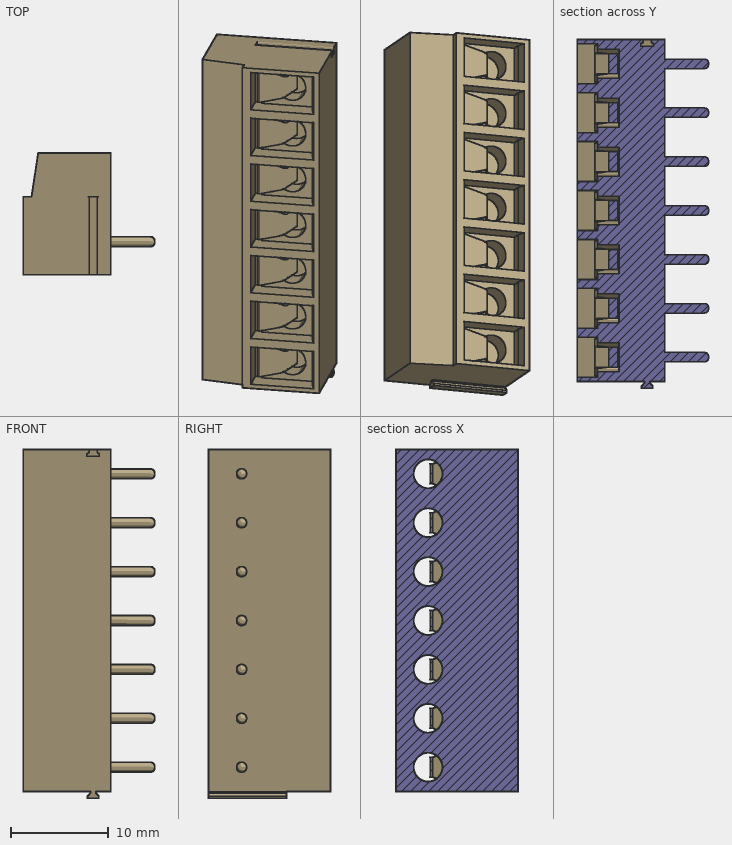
import cadquery as cq
import math

TOTAL_X = 13.5
TOTAL_HEIGHT = 35.68
POLE_COUNT = 7

BODY_X = 9.0
BODY_Y = 12.5
RAIL_DROP = 0.68
BODY_HEIGHT = TOTAL_HEIGHT - RAIL_DROP
PITCH = BODY_HEIGHT / POLE_COUNT
STEP_Y = 8.0
STEP_X = 0.85
SLOPE_END_X = 1.55

DOVETAIL_X = 7.17
DOVETAIL_LENGTH = STEP_Y
DOVETAIL_FOOT_HEIGHT = 0.2
RAIL_FOOT_WIDTH = 1.18
RAIL_NECK_WIDTH = 0.57
RAIL_NECK_HEIGHT = 0.15
GROOVE_FOOT_WIDTH = 1.3
GROOVE_NECK_WIDTH = 0.8
GROOVE_NECK_HEIGHT = 0.3
GROOVE_MOUTH_RADIUS = 0.1

POCKET_DEPTH = 2.07
POCKET_HEIGHT = 4.05
POCKET_TOP_Y = 7.15
POCKET_BOTTOM_Y = 0.57
POCKET_FLOOR_BOTTOM_Y = 0.9
LEAD_IN_DEPTH = 0.95
TOP_SLOT_DEPTH = 2.35

HOLE_DIAMETER = 2.93
HOLE_Y = 3.3
HOLE_DEPTH = 2.2

LEAF_THICKNESS = 0.3
LEAF_TOP_Y = 6.9
LEAF_TOP_WIDTH = 3.85
LEAF_TOP_RADIUS = 0.45
LEAF_BEND_Y = 4.28
LEAF_BEND_WIDTH = 2.45
LEAF_BEND_RADIUS = 0.5
LEG_WIDTH = 2.07
LEG_TIP_Y = 3.15

PIN_DIAMETER = 1.05
PIN_Y = 3.4
PIN_LENGTH = TOTAL_X - BODY_X
PIN_TIP_RADIUS = 0.45


def make_body():
    outline = [
        (0, 0),
        (BODY_X, 0),
        (BODY_X, BODY_Y),
        (SLOPE_END_X, BODY_Y),
        (STEP_X, STEP_Y),
        (0, STEP_Y),
    ]
    return cq.Workplane("XY").polyline(outline).close().extrude(BODY_HEIGHT)


def make_dovetail(top_z, foot_width, neck_width, neck_height):
    """Dovetail bar hanging from top_z, running along Y from the Y = 0 face."""
    neck = neck_width / 2
    foot = foot_width / 2
    neck_z = top_z - neck_height
    bottom_z = top_z - RAIL_DROP
    foot_z = bottom_z + DOVETAIL_FOOT_HEIGHT
    right_side = [(neck, top_z), (neck, neck_z), (foot, foot_z), (foot, bottom_z)]
    left_side = [(-x, z) for x, z in reversed(right_side)]
    outline = [(DOVETAIL_X + x, z) for x, z in right_side + left_side]
    return cq.Workplane("XZ").polyline(outline).close().extrude(-DOVETAIL_LENGTH)


def make_groove():
    """Dovetail groove with a rounded mouth, cut into the top of the body."""
    neck = GROOVE_NECK_WIDTH / 2
    mouth = neck + GROOVE_MOUTH_RADIUS
    arc_x = mouth - GROOVE_MOUTH_RADIUS * math.sqrt(0.5)
    arc_z = BODY_HEIGHT - GROOVE_MOUTH_RADIUS * (1 - math.sqrt(0.5))
    neck_z = BODY_HEIGHT - GROOVE_MOUTH_RADIUS
    rounded_mouth = (
        cq.Workplane("XZ")
        .moveTo(DOVETAIL_X - mouth, BODY_HEIGHT)
        .lineTo(DOVETAIL_X + mouth, BODY_HEIGHT)
        .threePointArc((DOVETAIL_X + arc_x, arc_z), (DOVETAIL_X + neck, neck_z))
        .lineTo(DOVETAIL_X - neck, neck_z)
        .threePointArc((DOVETAIL_X - arc_x, arc_z), (DOVETAIL_X - mouth, BODY_HEIGHT))
        .close()
        .extrude(-DOVETAIL_LENGTH)
    )
    dovetail = make_dovetail(BODY_HEIGHT, GROOVE_FOOT_WIDTH, GROOVE_NECK_WIDTH, GROOVE_NECK_HEIGHT)
    return dovetail.union(rounded_mouth)


def make_wire_entry():
    """Pocket with a lead-in, a slot for the leaf end and the wire hole, centred on Z = 0."""
    pocket_side = [
        (0, POCKET_BOTTOM_Y),
        (0, POCKET_TOP_Y),
        (TOP_SLOT_DEPTH, POCKET_TOP_Y),
        (TOP_SLOT_DEPTH, LEAF_TOP_Y - LEAF_TOP_RADIUS),
        (POCKET_DEPTH, LEAF_TOP_Y - LEAF_TOP_RADIUS),
        (POCKET_DEPTH, POCKET_FLOOR_BOTTOM_Y),
        (LEAD_IN_DEPTH, POCKET_FLOOR_BOTTOM_Y),
    ]
    pocket = cq.Workplane("XY").polyline(pocket_side).close().extrude(POCKET_HEIGHT / 2, both=True)
    hole = (
        cq.Workplane("YZ", origin=(POCKET_DEPTH, HOLE_Y, 0))
        .circle(HOLE_DIAMETER / 2)
        .extrude(HOLE_DEPTH)
    )
    return pocket.union(hole)


def make_leaf():
    """Bent spring leaf, centred on Z = 0: its bent strip trimmed to a tapering outline."""
    face_x = POCKET_DEPTH - LEAF_THICKNESS
    end_x = POCKET_DEPTH + HOLE_DEPTH
    bend_centre_x = face_x + LEAF_BEND_RADIUS

    run_x = end_x - bend_centre_x
    run_y = LEAF_BEND_Y - LEG_TIP_Y
    tip_distance = math.hypot(run_x, run_y)
    bend_angle = math.atan2(run_y, -run_x) - math.acos(LEAF_BEND_RADIUS / tip_distance)
    inner_radius = LEAF_BEND_RADIUS - LEAF_THICKNESS
    leg_thickness_y = LEAF_THICKNESS / math.sin(bend_angle)

    def on_bend(radius, angle):
        return (
            bend_centre_x - radius * math.cos(angle),
            LEAF_BEND_Y - radius * math.sin(angle),
        )

    top_centre_y = LEAF_TOP_Y - LEAF_TOP_RADIUS
    top_mid = LEAF_TOP_RADIUS * math.sqrt(0.5)
    strip = (
        cq.Workplane("XY")
        .moveTo(face_x, LEAF_BEND_Y)
        .threePointArc(on_bend(LEAF_BEND_RADIUS, bend_angle / 2), on_bend(LEAF_BEND_RADIUS, bend_angle))
        .lineTo(end_x, LEG_TIP_Y)
        .lineTo(end_x, LEG_TIP_Y + leg_thickness_y)
        .lineTo(*on_bend(inner_radius, bend_angle))
        .threePointArc(on_bend(inner_radius, bend_angle / 2), (POCKET_DEPTH, LEAF_BEND_Y))
        .lineTo(POCKET_DEPTH, top_centre_y)
        .lineTo(TOP_SLOT_DEPTH, top_centre_y)
        .lineTo(TOP_SLOT_DEPTH, LEAF_TOP_Y)
        .lineTo(face_x + LEAF_TOP_RADIUS, LEAF_TOP_Y)
        .threePointArc(
            (face_x + LEAF_TOP_RADIUS - top_mid, top_centre_y + top_mid),
            (face_x, top_centre_y),
        )
        .close()
        .extrude(LEAF_TOP_WIDTH / 2, both=True)
    )

    bend_end_y = on_bend(LEAF_BEND_RADIUS, bend_angle)[1]
    upper_side = [
        (LEAF_TOP_Y, LEAF_TOP_WIDTH / 2),
        (LEAF_BEND_Y, LEAF_BEND_WIDTH / 2),
        (bend_end_y, LEG_WIDTH / 2),
        (LEG_TIP_Y, LEG_WIDTH / 2),
    ]
    lower_side = [(y, -z) for y, z in reversed(upper_side)]
    taper = cq.Workplane("YZ").polyline(upper_side + lower_side).close().extrude(end_x)
    return strip.intersect(taper)


def make_pin():
    """Round pin with a rounded tip, centred on Z = 0."""
    return (
        cq.Workplane("YZ", origin=(BODY_X, PIN_Y, 0))
        .circle(PIN_DIAMETER / 2)
        .extrude(PIN_LENGTH)
        .faces(">X")
        .edges()
        .fillet(PIN_TIP_RADIUS)
    )


rail = make_dovetail(0, RAIL_FOOT_WIDTH, RAIL_NECK_WIDTH, RAIL_NECK_HEIGHT)
result = make_body().cut(make_groove()).union(rail)

wire_entry = make_wire_entry()
leaf = make_leaf()
pin = make_pin()
for pole in range(POLE_COUNT):
    pole_centre = (0, 0, (pole + 0.5) * PITCH)
    result = (
        result.cut(wire_entry.translate(pole_centre))
        .union(leaf.translate(pole_centre))
        .union(pin.translate(pole_centre))
    )